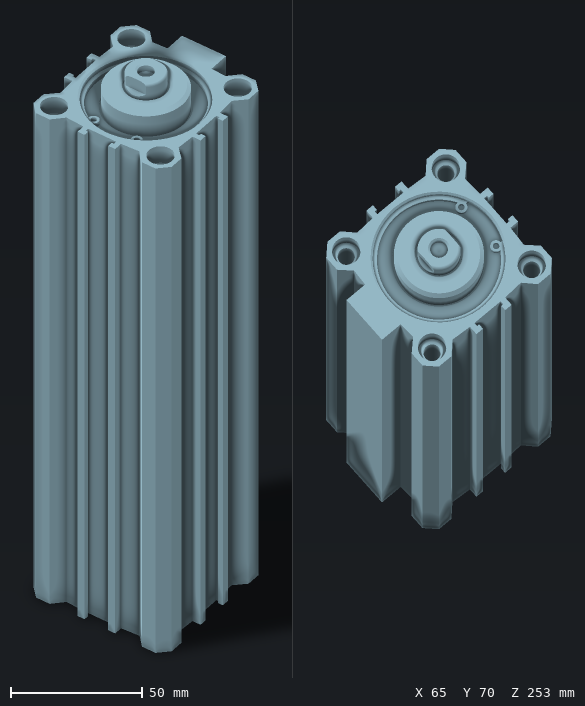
import cadquery as cq
import math

TOTAL_HEIGHT = 253.0
TUBE_HEIGHT = 239.5
TUBE_WIDTH = 65.0
TUBE_DEPTH = 70.0
HALF_WIDTH = TUBE_WIDTH / 2
BLOCK_REACH = TUBE_DEPTH - HALF_WIDTH
BLOCK_WIDTH = 20.7

COLUMN_OFFSET = 25.0
COLUMN_FLAT_OUTER = 28.0
COLUMN_FLAT_INNER = 21.8
NECK_HALF = 27.8
NECK_POSITION = 17.2
WALL_HALF = 28.3
BOLT_DIAMETER = 6.5
COUNTERBORE_DIAMETER = 11.0
COUNTERBORE_DEPTH = 8.0

RAIL_REACH = 32.1
RAIL_OUTER = 8.9
RAIL_STEM = 2.3
RAIL_WIDTH = 3.3
RAIL_TOE = 2.3

MOUTH_DIAMETER = 52.0
BORE_DIAMETER = 50.5
GROOVE_DIAMETER = 55.2
COLLAR_TOP_DEPTH = 4.8
COLLAR_FLANGE = 15.2

RING_THICKNESS = 2.0
RING_INNER_DIAMETER = 47.3
EAR_X = 10.0
EAR_Y = -20.0
EAR_DIAMETER = 4.5
EAR_HOLE_DIAMETER = 2.5

BOSS_DIAMETER = 34.5
BOSS_HEIGHT = 6.0
BOSS_CHAMFER = 1.5
ROD_BORE_DIAMETER = 18.0
ROD_BORE_MOUTH_DIAMETER = 19.0
MOAT_DIAMETER = 36.0
MOAT_DEPTH = 0.8

ROD_DIAMETER = 17.7
NECK_DIAMETER = 16.5
FLATS_WIDTH = 13.5
FLATS_LENGTH = 5.5
TIP_FILLET = 1.8
THREAD_DIAMETER = 6.8
THREAD_MOUTH_DIAMETER = 8.3
THREAD_DEPTH = 3.5
DRILL_ANGLE = 150.0
SHOULDER_DEPTH = 1.3

FLANGE_Z = TUBE_HEIGHT - COLLAR_TOP_DEPTH
RECESS_Z = FLANGE_Z - COLLAR_FLANGE
BOSS_Z = TUBE_HEIGHT + BOSS_HEIGHT
CORNERS = [(sx * COLUMN_OFFSET, sy * COLUMN_OFFSET) for sx in (-1, 1) for sy in (-1, 1)]


def cylinder(diameter, bottom, top):
    return cq.Workplane("XY").workplane(offset=bottom).circle(diameter / 2).extrude(top - bottom)


def countersink(inner, outer, top):
    """45 degree cone that opens a hole from the inner to the outer diameter at the height top."""
    depth = (outer - inner) / 2
    return cq.Workplane(cq.Solid.makeCone(inner / 2, outer / 2, depth, cq.Vector(0, 0, top - depth)))


def make_profile():
    """Tube without rails and block: the outline of one side, repeated at each quarter turn."""
    right_half = [
        (RAIL_OUTER, WALL_HALF),
        (NECK_POSITION, NECK_HALF),
        (COLUMN_FLAT_INNER, HALF_WIDTH),
        (COLUMN_FLAT_OUTER, HALF_WIDTH),
    ]
    side = [(-x, y) for x, y in reversed(right_half)] + right_half
    outline = []
    for _ in range(4):
        outline += side
        side = [(y, -x) for x, y in side]
    return cq.Workplane("XY").polyline(outline).close().extrude(TUBE_HEIGHT)


def make_rail(angle, side):
    """One rail along the -Y side, turned by the angle; side -1 or 1 picks which of the pair."""
    inner = RAIL_OUTER - RAIL_STEM
    toe_tip = RAIL_OUTER - RAIL_WIDTH
    toe_top = RAIL_TOE - RAIL_REACH
    points = [
        (RAIL_OUTER, -NECK_HALF),
        (RAIL_OUTER, -RAIL_REACH),
        (toe_tip, -RAIL_REACH),
        (toe_tip, toe_top),
        (inner, toe_top),
        (inner, -NECK_HALF),
    ]
    outline = [(side * x, y) for x, y in points]
    rail = cq.Workplane("XY").polyline(outline).close().extrude(TUBE_HEIGHT)
    return rail.rotate((0, 0, 0), (0, 0, 1), angle)


def make_tube():
    tube = make_profile()
    block = cq.Workplane("XY").rect(BLOCK_WIDTH, BLOCK_REACH).extrude(TUBE_HEIGHT)
    tube = tube.union(block.translate((0, BLOCK_REACH / 2, 0)))
    for angle in (-90, 0, 90):
        for side in (-1, 1):
            tube = tube.union(make_rail(angle, side))
    bolt_points = cq.Workplane("XY").workplane(offset=TUBE_HEIGHT).pushPoints(CORNERS)
    tube = tube.cut(bolt_points.circle(BOLT_DIAMETER / 2).extrude(-TUBE_HEIGHT))
    tube = tube.cut(bolt_points.circle(COUNTERBORE_DIAMETER / 2).extrude(-COUNTERBORE_DEPTH))
    tube = tube.cut(cylinder(BORE_DIAMETER, RECESS_Z, TUBE_HEIGHT))
    tube = tube.cut(countersink(BORE_DIAMETER, MOUTH_DIAMETER, TUBE_HEIGHT))
    return tube.cut(cylinder(GROOVE_DIAMETER, FLANGE_Z, FLANGE_Z + RING_THICKNESS))


def make_ring():
    top = FLANGE_Z + RING_THICKNESS
    ring = cylinder(GROOVE_DIAMETER, FLANGE_Z, top).cut(cylinder(RING_INNER_DIAMETER, FLANGE_Z, top))
    gap = cq.Workplane("XY").box(2 * EAR_X, HALF_WIDTH, RING_THICKNESS, centered=(True, False, False))
    ring = ring.cut(gap.translate((0, -HALF_WIDTH, FLANGE_Z)))
    ears = cq.Workplane("XY").workplane(offset=FLANGE_Z).pushPoints([(-EAR_X, EAR_Y), (EAR_X, EAR_Y)])
    ring = ring.union(ears.circle(EAR_DIAMETER / 2).extrude(RING_THICKNESS))
    return ring.cut(ears.circle(EAR_HOLE_DIAMETER / 2).extrude(RING_THICKNESS))


def make_collar():
    flange = cylinder(BORE_DIAMETER, RECESS_Z, FLANGE_Z)
    flange = flange.cut(cylinder(MOAT_DIAMETER, FLANGE_Z - MOAT_DEPTH, FLANGE_Z))
    boss = cylinder(BOSS_DIAMETER, RECESS_Z, BOSS_Z).faces(">Z").chamfer(BOSS_CHAMFER)
    collar = flange.union(boss).cut(cylinder(ROD_BORE_DIAMETER, RECESS_Z, BOSS_Z))
    return collar.cut(countersink(ROD_BORE_DIAMETER, ROD_BORE_MOUTH_DIAMETER, BOSS_Z))


def make_thread_hole():
    """Countersunk hole with a conical bottom in the rod end."""
    radius = THREAD_DIAMETER / 2
    mouth_radius = THREAD_MOUTH_DIAMETER / 2
    cone = radius / math.tan(math.radians(DRILL_ANGLE / 2))
    half_section = [
        (0, 0),
        (mouth_radius, 0),
        (radius, radius - mouth_radius),
        (radius, -THREAD_DEPTH),
        (0, -THREAD_DEPTH - cone),
    ]
    hole = cq.Workplane("XZ").polyline(half_section).close().revolve(360, (0, 0), (0, 1))
    return hole.translate((0, 0, TOTAL_HEIGHT))


def make_flat_cut():
    """Cutter for the +Y wrench flat, which runs out at its foot in a 45 degree slope."""
    flat = FLATS_WIDTH / 2
    outside = NECK_DIAMETER
    foot = TOTAL_HEIGHT - FLATS_LENGTH
    section = [(flat, TOTAL_HEIGHT), (flat, foot), (outside, foot - (outside - flat)), (outside, TOTAL_HEIGHT)]
    return cq.Workplane("YZ").polyline(section).close().extrude(NECK_DIAMETER / 2, both=True)


def make_rod():
    shoulder = BOSS_Z - SHOULDER_DEPTH
    neck = cylinder(NECK_DIAMETER, shoulder, TOTAL_HEIGHT).faces(">Z").edges().fillet(TIP_FILLET)
    flats = make_flat_cut().union(make_flat_cut().mirror("XZ"))
    rod = cylinder(ROD_DIAMETER, RECESS_Z, shoulder).union(neck.cut(flats))
    return rod.cut(make_thread_hole())


tube = make_tube()
ring = make_ring()
collar = make_collar()
rod = make_rod()

result = cq.Compound.makeCompound([tube.val(), ring.val(), collar.val(), rod.val()])